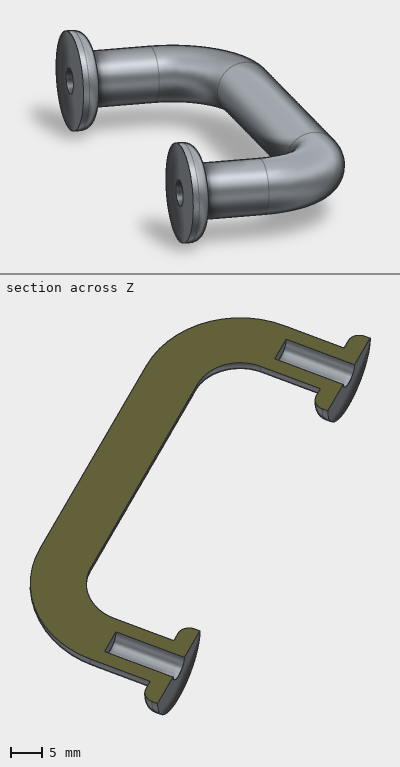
import cadquery as cq

hole_spacing = 64.0
handle_height = 30.0
bar_diameter = 9.0
bend_radius = 12.0
foot_diameter = 16.0
foot_thickness = 3.0
foot_edge_radius = 2.0
screw_hole_diameter = 4.2
screw_hole_depth = 12.0

foot_x = hole_spacing / 2
mount_y = -handle_height / 2
grip_y = handle_height / 2 - bar_diameter / 2
bend_start_y = grip_y - bend_radius
bend_end_x = foot_x - bend_radius


def mounting_plane(x):
    """Plane on the mounting face at a foot axis, with its normal along +Y."""
    return cq.Plane(origin=(x, mount_y, 0), xDir=(1, 0, 0), normal=(0, 1, 0))


def bent_bar():
    """Round bar swept along a U: leg, bend, grip, bend, leg."""
    centreline = (
        cq.Workplane("XY")
        .moveTo(-foot_x, mount_y)
        .lineTo(-foot_x, bend_start_y)
        .tangentArcPoint((-bend_end_x, grip_y), relative=False)
        .lineTo(bend_end_x, grip_y)
        .tangentArcPoint((foot_x, bend_start_y), relative=False)
        .lineTo(foot_x, mount_y)
    )
    return cq.Workplane(mounting_plane(-foot_x)).circle(bar_diameter / 2).sweep(centreline)


def foot(x):
    """Round foot disc, its edge rounded on the grip side."""
    disc = cq.Workplane(mounting_plane(x)).circle(foot_diameter / 2).extrude(foot_thickness)
    return disc.faces(">Y").edges().fillet(foot_edge_radius)


def screw_hole(x):
    """Blind hole running from the mounting face up the leg."""
    return cq.Workplane(mounting_plane(x)).circle(screw_hole_diameter / 2).extrude(screw_hole_depth)


result = bent_bar()
for x in (-foot_x, foot_x):
    result = result.union(foot(x)).cut(screw_hole(x))